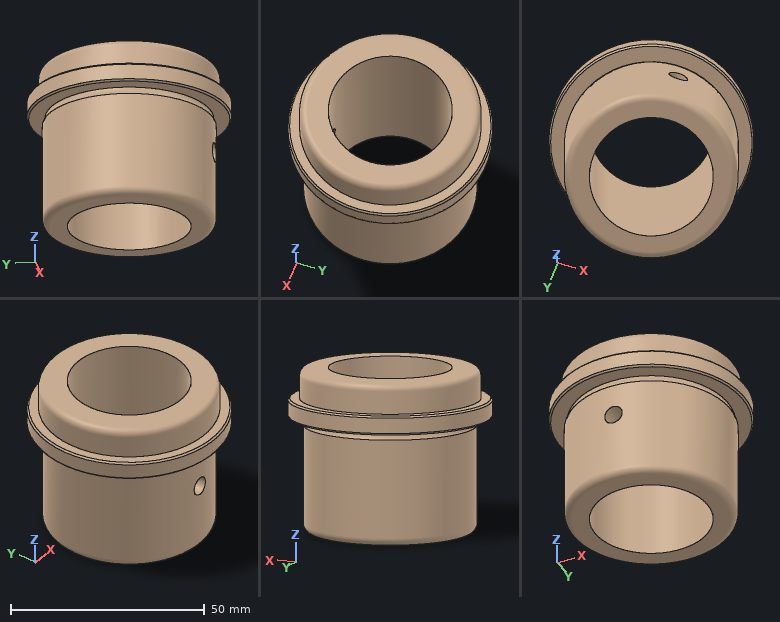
import cadquery as cq

flange_diameter = 53.0
total_height = 43.0
bore_diameter = 32.0

collar_diameter = 47.0
collar_height = 8.0
flange_thickness = 5.0
flange_chamfer = 0.5
body_diameter = 45.0
collar_fillet = 2.0

neck_depth = 0.65
neck_height = 2.0
body_fillet = 2.0

hole_diameter = 5.0
hole_below_top = 24.0

flange_top = total_height - collar_height
flange_bottom = flange_top - flange_thickness
body_radius = body_diameter / 2


def make_body():
    """Lower sleeve with a rounded lower edge and a hollow neck under the flange."""
    neck_radius = body_radius - neck_depth
    flare_radius = (neck_height**2 + neck_depth**2) / (2 * neck_depth)
    profile = (
        cq.Workplane("XZ")
        .lineTo(body_radius, 0)
        .lineTo(body_radius, flange_bottom - neck_height)
        .radiusArc((neck_radius, flange_bottom), flare_radius)
        .lineTo(0, flange_bottom)
        .close()
    )
    body = profile.revolve(360, (0, 0, 0), (0, 1, 0))
    return body.faces("<Z").edges().fillet(body_fillet)


def make_flange():
    """Chamfered locating flange."""
    flange = cq.Workplane("XY").workplane(offset=flange_bottom).circle(flange_diameter / 2)
    return flange.extrude(flange_thickness).edges().chamfer(flange_chamfer)


def make_collar():
    """Upper collar with a rounded top edge."""
    collar = cq.Workplane("XY").workplane(offset=flange_top).circle(collar_diameter / 2)
    return collar.extrude(collar_height).faces(">Z").edges().fillet(collar_fillet)


def make_bore():
    """Straight bore through the full height."""
    return cq.Workplane("XY").circle(bore_diameter / 2).extrude(total_height)


def make_radial_hole():
    """Hole from the axis out through the -Y wall."""
    hole = cq.Workplane("XZ").center(0, total_height - hole_below_top)
    return hole.circle(hole_diameter / 2).extrude(flange_diameter / 2)


outside = make_body().union(make_flange()).union(make_collar())
result = outside.cut(make_bore()).cut(make_radial_hole())